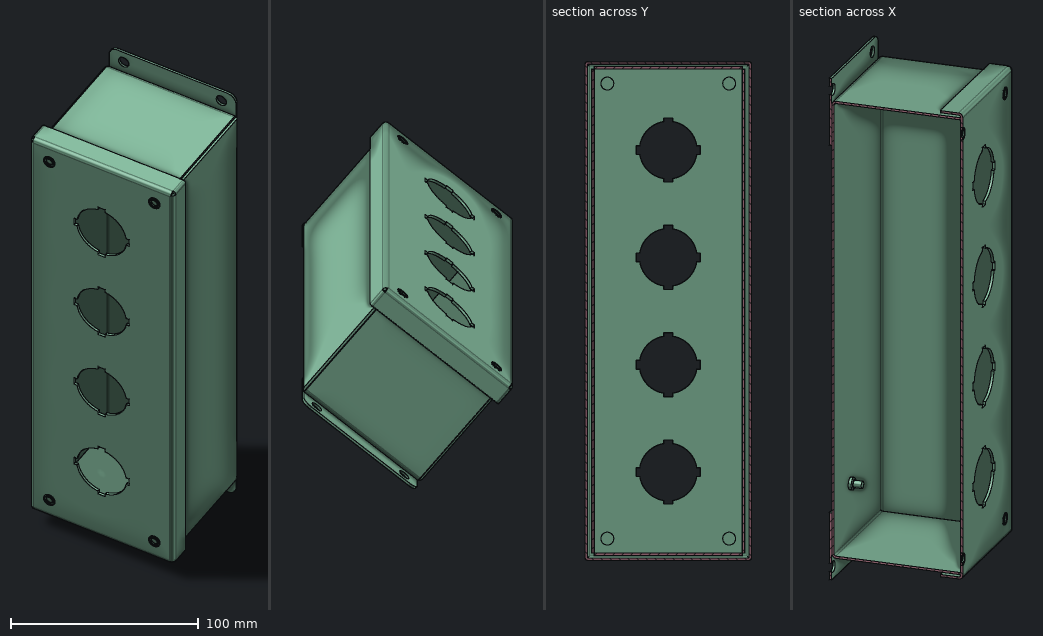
import cadquery as cq

OVERALL_DEPTH = 76.0
OVERALL_HEIGHT = 285.8

SHEET = 1.51
BEND_RADIUS = 2.43

BOX_WIDTH = 81.7
BOX_HEIGHT = 260.5
BOX_NOTCH = 1.5

COVER_WIDTH = 89.0
COVER_HEIGHT = 265.7
COVER_DEPTH = 13.0
COVER_CORNER_RADIUS = 1.7

BUTTON_COUNT = 4
BUTTON_PITCH = 57.2
BUTTON_DIAMETER = 30.5
KEYWAY_SPAN = 34.0
KEYWAY_WIDTH = 4.5

SCREW_SPACING_X = 65.0
SCREW_SPACING_Z = 242.3
SCREW_HEAD_DIAMETER = 7.0
SCREW_FACE_DIAMETER = 5.5
SCREW_RIM_DEPTH = 0.5
SOCKET_DIAMETER = 4.0
SOCKET_DEPTH = 1.0

FOOT_WIDTH = 78.3
FOOT_LENGTH = 38.3
FOOT_THICKNESS = 1.5
FOOT_CORNER_RADIUS = 5.1
FOOT_HOLE_DIAMETER = 6.3
FOOT_HOLE_SPACING_X = 60.3
FOOT_HOLE_SPACING_Z = 271.7

STUD_X = -7.7
STUD_Z = -96.3
STUD_DIAMETER = 4.0
STUD_LENGTH = 7.0
NUT_DIAMETER = 7.0
NUT_FACE_DIAMETER = 5.5
NUT_RIM_DEPTH = 0.5
NUT_THICKNESS = 2.3

BOX_BACK_Y = -FOOT_THICKNESS
BACK_WALL_Y = BOX_BACK_Y - SHEET
FRONT_Y = -OVERALL_DEPTH
COVER_INSIDE_Y = FRONT_Y + SHEET
COVER_REAR_Y = FRONT_Y + COVER_DEPTH


def block(width, height, near_y, far_y):
    """Block centred on the Y axis, reaching from near_y back to far_y."""
    depth = far_y - near_y
    return cq.Workplane("XY").box(width, depth, height).translate((0, near_y + depth / 2, 0))


def rod(diameter, x, z, near_y, far_y):
    """Cylinder along Y, reaching from near_y back to far_y."""
    start = cq.Vector(x, near_y, z)
    return cq.Workplane(cq.Solid.makeCylinder(diameter / 2, far_y - near_y, start, cq.Vector(0, 1, 0)))


def corner_points(spacing_x, spacing_z):
    """X and Z of the four corners of a centred rectangle."""
    return [(sx * spacing_x / 2, sz * spacing_z / 2) for sx in (-1, 1) for sz in (-1, 1)]


def cut_corners(tray, width, height, notch_size, near_y, far_y):
    """Cut a square notch out of each corner of a tray."""
    notch = block(2 * notch_size, 2 * notch_size, near_y, far_y)
    for x, z in corner_points(width, height):
        tray = tray.cut(notch.translate((x, 0, z)))
    return tray


def make_box():
    """Bent tray whose side panels meet at open, notched corners."""
    outside = block(BOX_WIDTH, BOX_HEIGHT, COVER_INSIDE_Y, BOX_BACK_Y)
    outside = outside.faces(">Y").edges().fillet(BEND_RADIUS)
    inside = block(BOX_WIDTH - 2 * SHEET, BOX_HEIGHT - 2 * SHEET, COVER_INSIDE_Y, BACK_WALL_Y)
    inside = inside.faces(">Y").edges().fillet(BEND_RADIUS - SHEET)
    tray = outside.cut(inside)
    return cut_corners(tray, BOX_WIDTH, BOX_HEIGHT, BOX_NOTCH, COVER_INSIDE_Y, BOX_BACK_Y)


def button_cutter(z):
    """Round hole with four keyways, through the cover face."""
    cutter = rod(BUTTON_DIAMETER, 0, 0, FRONT_Y, COVER_INSIDE_Y)
    cutter = cutter.union(block(KEYWAY_SPAN, KEYWAY_WIDTH, FRONT_Y, COVER_INSIDE_Y))
    cutter = cutter.union(block(KEYWAY_WIDTH, KEYWAY_SPAN, FRONT_Y, COVER_INSIDE_Y))
    return cutter.translate((0, 0, z))


def cover_skirt(inset):
    """Rounded rectangular block, the cover's outline moved inward by inset."""
    skirt = block(COVER_WIDTH - 2 * inset, COVER_HEIGHT - 2 * inset, FRONT_Y + inset, COVER_REAR_Y)
    return skirt.edges("|Y").fillet(COVER_CORNER_RADIUS - inset)


def bent_front(inset):
    """Sharp-cornered block with its front edges bent, moved inward by inset."""
    front = block(COVER_WIDTH - 2 * inset, COVER_HEIGHT - 2 * inset, FRONT_Y + inset, COVER_REAR_Y)
    return front.faces("<Y").edges().fillet(BEND_RADIUS - inset)


def cover_shell():
    """Tray with a rounded skirt and small open reliefs where the front bends meet."""
    outside = cover_skirt(0).intersect(bent_front(0))
    inside = cover_skirt(SHEET).intersect(bent_front(SHEET))
    shell = outside.cut(inside)
    bend_end_y = FRONT_Y + BEND_RADIUS
    return cut_corners(shell, COVER_WIDTH, COVER_HEIGHT, COVER_CORNER_RADIUS, FRONT_Y, bend_end_y)


def make_cover():
    cover = cover_shell()
    for i in range(BUTTON_COUNT):
        cover = cover.cut(button_cutter((i - (BUTTON_COUNT - 1) / 2) * BUTTON_PITCH))
    for x, z in corner_points(SCREW_SPACING_X, SCREW_SPACING_Z):
        cover = cover.cut(rod(SCREW_HEAD_DIAMETER, x, z, FRONT_Y, COVER_INSIDE_Y))
    return cover


def make_screw(x, z):
    head = rod(SCREW_HEAD_DIAMETER, x, z, FRONT_Y, COVER_INSIDE_Y)
    rim_width = (SCREW_HEAD_DIAMETER - SCREW_FACE_DIAMETER) / 2
    head = head.faces("<Y").chamfer(SCREW_RIM_DEPTH, rim_width)
    return head.cut(rod(SOCKET_DIAMETER, x, z, FRONT_Y, FRONT_Y + SOCKET_DEPTH))


def make_foot(side):
    """Mounting foot at the top (side = 1) or the bottom (side = -1)."""
    outer_end = ">Z" if side > 0 else "<Z"
    foot = block(FOOT_WIDTH, FOOT_LENGTH, BOX_BACK_Y, 0)
    foot = foot.translate((0, 0, side * (OVERALL_HEIGHT - FOOT_LENGTH) / 2))
    foot = foot.faces(outer_end).edges("|Y").fillet(FOOT_CORNER_RADIUS)
    for x, z in corner_points(FOOT_HOLE_SPACING_X, FOOT_HOLE_SPACING_Z):
        foot = foot.cut(rod(FOOT_HOLE_DIAMETER, x, z, BOX_BACK_Y, 0))
    return foot


def make_earth_stud():
    return rod(STUD_DIAMETER, STUD_X, STUD_Z, BACK_WALL_Y - STUD_LENGTH, BACK_WALL_Y)


def make_earth_nut():
    nut = rod(NUT_DIAMETER, STUD_X, STUD_Z, BACK_WALL_Y - NUT_THICKNESS, BACK_WALL_Y)
    rim_width = (NUT_DIAMETER - NUT_FACE_DIAMETER) / 2
    nut = nut.faces("<Y").chamfer(NUT_RIM_DEPTH, rim_width)
    return nut.cut(make_earth_stud())


box = make_box()
cover = make_cover()
screws = [make_screw(x, z) for x, z in corner_points(SCREW_SPACING_X, SCREW_SPACING_Z)]
feet = [make_foot(side) for side in (-1, 1)]
earth_stud = make_earth_stud()
earth_nut = make_earth_nut()

result = cq.Compound.makeCompound(
    [
        box.val(),
        cover.val(),
        *[screw.val() for screw in screws],
        *[foot.val() for foot in feet],
        earth_stud.val(),
        earth_nut.val(),
    ]
)